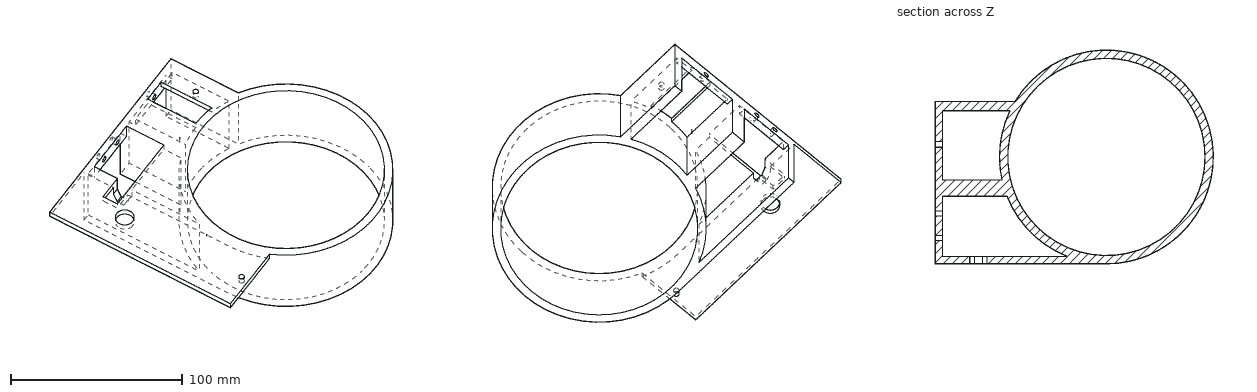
import cadquery as cq

overall_length = 162.5
height = 50.0

ring_outer_diameter = 125.0
ring_bore_diameter = 115.0
ring_outer_radius = ring_outer_diameter / 2
ring_centre = overall_length - ring_outer_radius

plate_width = ring_outer_diameter
plate_length = 132.5
plate_thickness = 4.0
plate_underside = height - plate_thickness

block_front = ring_centre - ring_outer_radius
lintel_depth = 10.0
lintel_thickness = 4.4

front_bay = (42.0, 77.0)
rear_bay = (86.6, 126.9)

rear_opening_front = 100.3
rear_opening_back = 114.9
front_opening_right = 30.2
slot_left = 20.3
slot_front = 26.2

small_hole_diameter = 3.2
small_hole_places = [(25.0, 120.0), (120.0, 20.2)]
large_hole_diameter = 11.0
large_hole_place = (39.2, 20.2)

pinhole_diameter = 0.3
pinhole_near = 35.1
pinhole_far = 86.5
pinhole_places = [(pinhole_near, pinhole_far), (pinhole_far, pinhole_near)]

side_holes = [(52.8, 5.0), (67.1, 5.0), (107.4, 6.0)]

notch_floor_depth = 16.0
notch_taper_depth = 10.2
notch_floor_width = 4.5


def box_between(x_range, y_range, z_range):
    """Box spanning the given (low, high) range along each axis."""
    sizes = [high - low for low, high in (x_range, y_range, z_range)]
    corner = (x_range[0], y_range[0], z_range[0])
    return cq.Workplane("XY").box(*sizes, centered=False).translate(corner)


def cylinder_at(place, diameter, bottom, top):
    """Upright cylinder between two heights."""
    return cq.Workplane("XY", origin=(*place, bottom)).circle(diameter / 2).extrude(top - bottom)


def ring_cylinder(diameter):
    """Full-height cylinder on the ring axis."""
    return cylinder_at((ring_centre, ring_centre), diameter, 0, height)


def solid_body():
    """Plate, block and ring joined, before anything is cut."""
    plate = box_between((0, plate_width), (0, plate_length), (plate_underside, height))
    block = box_between((0, ring_centre), (block_front, plate_length), (0, height))
    return plate.union(block).union(ring_cylinder(ring_outer_diameter))


def bay(y_range):
    """Space reaching from the -X side to the ring, below the lintel and the plate."""
    doorway = box_between((0, ring_centre), y_range, (0, height - lintel_depth))
    room = box_between((lintel_thickness, ring_centre), y_range, (0, plate_underside))
    return doorway.union(room).cut(ring_cylinder(ring_outer_diameter))


def plate_openings():
    """Rectangular openings; the rear one ends on the outer circle of the ring."""
    through_plate = (plate_underside, height)
    rear = box_between(
        (lintel_thickness, ring_centre), (rear_opening_front, rear_opening_back), through_plate
    ).cut(ring_cylinder(ring_outer_diameter))
    front = box_between((lintel_thickness, front_opening_right), front_bay, through_plate)
    slot = box_between((slot_left, front_opening_right), (slot_front, front_bay[0]), through_plate)
    return rear.union(front).union(slot)


def plate_holes():
    """All upright round holes through the plate."""
    holes = cylinder_at(large_hole_place, large_hole_diameter, plate_underside, height)
    for place in small_hole_places:
        holes = holes.union(cylinder_at(place, small_hole_diameter, plate_underside, height))
    for place in pinhole_places:
        holes = holes.union(cylinder_at(place, pinhole_diameter, plate_underside, height))
    return holes


def lintel_holes():
    """Round holes from the -X side into the bays."""
    centres = [(y, height - depth) for y, depth in side_holes]
    return (
        cq.Workplane("YZ")
        .pushPoints(centres)
        .circle(small_hole_diameter / 2)
        .extrude(lintel_thickness)
    )


def wall_notch():
    """Notch through the front wall, as wide as the slot and narrowing to a flat floor."""
    middle = (slot_left + front_opening_right) / 2
    taper_top = height - notch_taper_depth
    floor = height - notch_floor_depth
    outline = [
        (slot_left, plate_underside),
        (slot_left, taper_top),
        (middle - notch_floor_width / 2, floor),
        (middle + notch_floor_width / 2, floor),
        (front_opening_right, taper_top),
        (front_opening_right, plate_underside),
    ]
    wall_thickness = front_bay[0] - block_front
    return (
        cq.Workplane("XZ", origin=(0, front_bay[0], 0))
        .polyline(outline)
        .close()
        .extrude(wall_thickness)
    )


result = (
    solid_body()
    .cut(ring_cylinder(ring_bore_diameter))
    .cut(bay(front_bay))
    .cut(bay(rear_bay))
    .cut(plate_openings())
    .cut(plate_holes())
    .cut(lintel_holes())
    .cut(wall_notch())
)